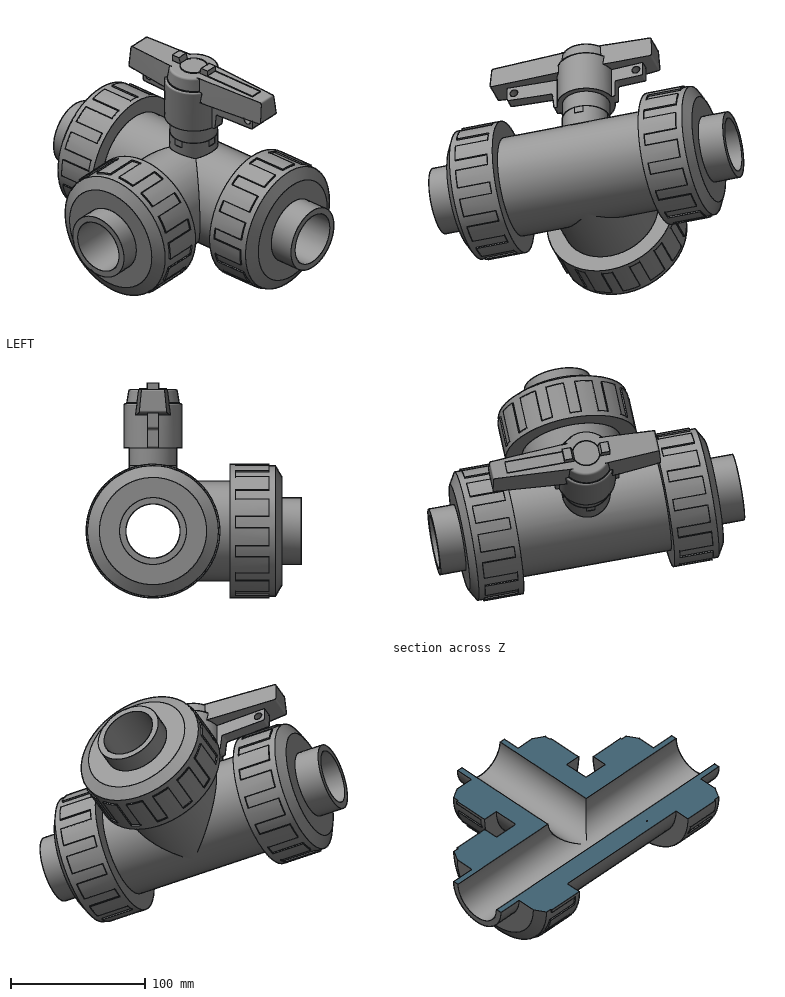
import cadquery as cq
import math


body_radius = 37.5
pipe_radius = 25.0
bore_radius = 20.0
run_reach = 115.5
branch_reach = 110.6

nut_radius = 50.0
band_radius = 48.7
nut_face_radius = 40.0
nut_start = 57.3
groove_start = 61.5
rib_end = 86.6
band_end = 91.2
nut_end = 96.3
rib_count = 14
groove_angle = 10.0

neck_radius = 18.0
neck_collar_radius = 17.8
neck_collar_bottom = 48.7
flat_width = 6.5
flat_depth = 0.35
flat_bottom = 43.5
flat_top = 48.7

hub_radius = 21.7
hub_bottom = 62.0
hub_top = 95.0
hub_edge_round = 1.5
cap_foot_radius = 19.9
cap_foot_top = 95.6
cap_base_radius = 19.6
cap_top_radius = 18.0
cap_edge_round = 1.8

grip_left = -54.7
grip_right = 72.8
grip_end_bottom = 88.2
grip_bottom = 86.6
grip_top = 105.5
grip_base_widths = (10.5, 14.3, 9.5)
grip_top_widths = (8.5, 11.5, 7.2)
grip_end_draft = 1.0
grip_end_round = 1.6
grip_lower_round = 1.5

web_thickness = 8.3
web_left = -45.7
web_right = 60.8
web_top = 94.7
web_end_bottom = 76.5
web_post_left = -24.0
web_post_right = 24.0
web_post_right_top = 25.5
web_root_left = 75.8
web_root_right = 74.8
web_corner_round = 1.5
web_hole_radius = 3.0
web_hole_inset = 5.3
web_hole_height = 82.2

mark_top = 106.3
disc_radius = 10.2
strip_end = 61.0
strip_width = 9.2
lug_top = 110.5
lug_outer = 17.3
lug_inner_top = 11.0
lug_inner_base = 9.2
lug_left_width = 8.3


def cylinder_along_x(radius, start, end):
    return cq.Workplane("YZ", origin=(start, 0, 0)).circle(radius).extrude(end - start)


def turn(solid, angle):
    return solid.rotate((0, 0, 0), (0, 0, 1), angle)


def extrude_across(points, width):
    """Extrude an XZ outline to both sides of the plane Y = 0."""
    return cq.Workplane("XZ").polyline(points).close().extrude(width / 2, both=True)


def make_nut():
    """Union nut on the +X port, with grooves that run out into the outer band."""
    profile = [
        (nut_start, 0),
        (nut_start, nut_radius),
        (rib_end, nut_radius),
        (rib_end, band_radius),
        (band_end, band_radius),
        (nut_end, nut_face_radius),
        (nut_end, 0),
    ]
    nut = cq.Workplane("XY").polyline(profile).close().revolve(360, (0, 0, 0), (1, 0, 0))
    groove = (
        cq.Workplane("XY")
        .moveTo(groove_start, band_radius)
        .rect(rib_end - groove_start, 2 * (nut_radius - band_radius), centered=(False, False))
        .revolve(groove_angle, (0, 0, 0), (1, 0, 0))
        .rotate((0, 0, 0), (1, 0, 0), 90)
    )
    for index in range(rib_count):
        nut = nut.cut(groove.rotate((0, 0, 0), (1, 0, 0), index * 360 / rib_count))
    return nut


def make_body():
    """Tee body with a union nut and a pipe end on each port."""
    nut = make_nut()
    body = cylinder_along_x(body_radius, -nut_end, nut_end)
    body = body.union(turn(cylinder_along_x(body_radius, 0, nut_end), -90))
    for angle, reach in ((0, run_reach), (-90, branch_reach), (180, run_reach)):
        body = body.union(turn(nut, angle))
        body = body.union(turn(cylinder_along_x(pipe_radius, 0, reach), angle))
    return body


def make_neck():
    neck = cq.Workplane("XY").circle(neck_radius).extrude(neck_collar_bottom)
    flat = cq.Workplane("XY").box(
        neck_radius, flat_width, flat_top - flat_bottom, centered=(False, True, False)
    ).translate((neck_radius - flat_depth, 0, flat_bottom))
    for angle in range(0, 360, 90):
        neck = neck.cut(turn(flat, angle))
    collar = (
        cq.Workplane("XY", origin=(0, 0, neck_collar_bottom))
        .circle(neck_collar_radius)
        .extrude(hub_bottom - neck_collar_bottom)
    )
    return neck.union(collar)


def make_hub():
    """Hub around the stem, topped by a drafted cap on a low foot."""
    hub = (
        cq.Workplane("XY", origin=(0, 0, hub_bottom))
        .circle(hub_radius)
        .extrude(hub_top - hub_bottom)
        .faces(">Z").edges().fillet(hub_edge_round)
    )
    foot = (
        cq.Workplane("XY", origin=(0, 0, hub_top))
        .circle(cap_foot_radius)
        .extrude(cap_foot_top - hub_top)
    )
    cap_height = grip_top - cap_foot_top
    draft = math.degrees(math.atan2(cap_base_radius - cap_top_radius, cap_height))
    cap = (
        cq.Workplane("XY", origin=(0, 0, cap_foot_top))
        .circle(cap_base_radius)
        .extrude(cap_height, taper=draft)
        .faces(">Z").edges().fillet(cap_edge_round)
    )
    return hub.union(foot).union(cap)


def grip_outline(left, right, widths):
    left_width, middle_width, right_width = widths
    return [
        (left, -left_width),
        (0, -middle_width),
        (right, -right_width),
        (right, right_width),
        (0, middle_width),
        (left, left_width),
    ]


def make_grip():
    """Two tapering drafted arms whose underside rises gently towards the ends."""
    base = grip_outline(grip_left, grip_right, grip_base_widths)
    top = grip_outline(grip_left + grip_end_draft, grip_right - grip_end_draft, grip_top_widths)
    grip = (
        cq.Workplane("XY", origin=(0, 0, grip_bottom))
        .polyline(base).close()
        .workplane(offset=grip_top - grip_bottom)
        .polyline(top).close()
        .loft(ruled=True)
        .faces(">Z").edges("|Y").fillet(grip_end_round)
    )
    for end, side in ((grip_left, -1), (grip_right, 1)):
        underside = [
            (side * hub_radius, grip_bottom),
            (end, grip_end_bottom),
            (end, grip_bottom),
        ]
        grip = grip.cut(extrude_across(underside, 2 * hub_radius))
    for side in ("<X", ">X"):
        grip = grip.edges(side).fillet(grip_lower_round)
    return grip


def make_web():
    """Flat web with two posts beside the hub; its corners are rounded."""
    outline = [
        (web_left, web_top),
        (web_left, web_end_bottom),
        (web_post_left, web_root_left),
        (web_post_left, hub_bottom),
        (web_post_right, hub_bottom),
        (web_post_right_top, web_root_right),
        (web_right, web_end_bottom),
        (web_right, web_top),
    ]
    web = extrude_across(outline, web_thickness)
    for side in ("<X", ">X"):
        web = web.faces(side).edges("<Z").fillet(web_corner_round)
    web = web.edges("|Y and <Z").fillet(web_corner_round)
    for x, z in ((web_post_left, web_root_left), (web_post_right_top, web_root_right)):
        root_edge = cq.selectors.NearestToPointSelector((x, 0, z))
        web = web.edges(root_edge).fillet(web_corner_round)
    holes = (
        cq.Workplane("XZ")
        .pushPoints([
            (web_left + web_hole_inset, web_hole_height),
            (web_right - web_hole_inset, web_hole_height),
        ])
        .circle(web_hole_radius)
        .extrude(web_thickness, both=True)
    )
    return web.cut(holes)


def make_lug(side, width):
    outline = [
        (side * lug_outer, grip_top),
        (side * lug_outer, lug_top),
        (side * lug_inner_top, lug_top),
        (side * lug_inner_base, grip_top),
    ]
    return extrude_across(outline, width)


def make_marks():
    """Low disc and strip on top of the grip, with two pointer lugs."""
    mark_height = mark_top - grip_top
    top_plane = cq.Workplane("XY", origin=(0, 0, grip_top))
    disc = top_plane.circle(disc_radius).extrude(mark_height)
    strip = top_plane.rect(strip_end, strip_width, centered=(False, True)).extrude(mark_height)
    return disc.union(strip).union(make_lug(-1, lug_left_width)).union(make_lug(1, strip_width))


def make_bores():
    run = cylinder_along_x(bore_radius, -run_reach, run_reach)
    branch = turn(cylinder_along_x(bore_radius, 0, branch_reach), -90)
    return run.union(branch)


handle = make_hub().union(make_grip()).union(make_web()).union(make_marks())
result = make_body().union(make_neck()).union(handle).cut(make_bores())